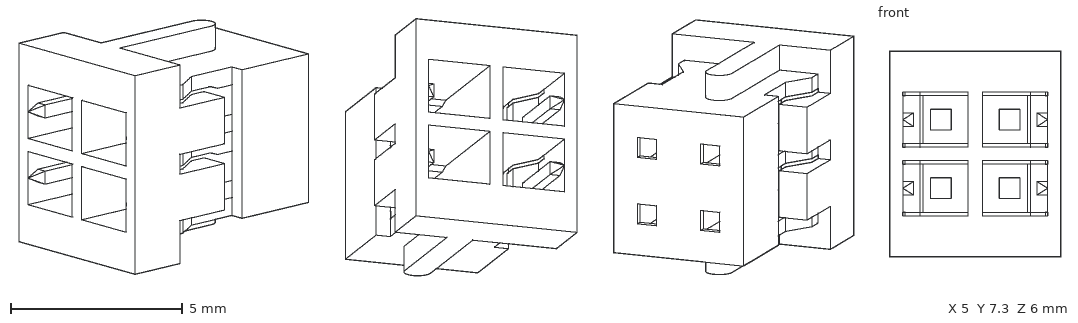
import cadquery as cq


total_width = 5.0
total_depth = 7.3
total_height = 6.0

pitch = 2.0
rows = (-pitch / 2, pitch / 2)
sides = (-1, 1)

flange_depth = 1.79
body_height = 4.49
body_width = 4.11
waist_width = 3.23
flare_width = 4.22
flare_start = 2.255
flare_end = 3.05
shoulder_y = 4.66

rib_width = 0.8
rib_end = 5.8
rib_x = -0.5

cavity_inner_x = 0.205
cavity_outer_x = flare_width / 2
cavity_height = 1.605
channel_height = 1.4
taper_start = 3.79
taper_end = 4.095
channel_outer_x = 1.52
back_wall = 0.2
cavity_floor = total_depth - back_wall
pin_hole = 0.6

tongue_end = 3.555
tongue_height = channel_height

barb_inner_x = 1.8
barb_height = 0.395
barb_tip_length = 0.4


def box(x_range, y_range, z_range):
    """Axis-aligned box between the given limits."""
    (x0, x1), (y0, y1), (z0, z1) = x_range, y_range, z_range
    return cq.Workplane("XY").box(x1 - x0, y1 - y0, z1 - z0, centered=False).translate((x0, y0, z0))


def z_prism(points, height, z_center):
    """Extrude an XY outline symmetrically about the given height."""
    return cq.Workplane("XY").workplane(offset=z_center).polyline(points).close().extrude(height / 2, both=True)


def on_side(points, side):
    """Mirror an outline drawn for +X onto the chosen side."""
    return [(side * x, y) for x, y in points]


def make_flange():
    half_width = total_width / 2
    half_height = total_height / 2
    return box((-half_width, half_width), (0, flange_depth), (-half_height, half_height))


def make_body():
    right_edge = [
        (flare_width / 2, 0),
        (flare_width / 2, flare_start),
        (waist_width / 2, flare_end),
        (waist_width / 2, shoulder_y),
        (body_width / 2, shoulder_y),
        (body_width / 2, total_depth),
    ]
    left_edge = on_side(reversed(right_edge), -1)
    return z_prism(right_edge + left_edge, body_height, 0)


def make_ribs():
    """One round-ended rib running the full height, so it shows above and below the body."""
    radius = rib_width / 2
    round_start = rib_end - radius
    return (
        cq.Workplane("XY")
        .moveTo(rib_x - radius, 0)
        .lineTo(rib_x - radius, round_start)
        .threePointArc((rib_x, rib_end), (rib_x + radius, round_start))
        .lineTo(rib_x + radius, 0)
        .close()
        .extrude(total_height / 2, both=True)
    )


def make_cavity(side, z):
    """Cavity open along its outer side up to the shoulder, narrowing in height, drafted at the back."""
    entry = cavity_height / 2
    channel = channel_height / 2
    height_profile = [
        (0, -entry),
        (taper_start, -entry),
        (taper_end, -channel),
        (cavity_floor, -channel),
        (cavity_floor, channel),
        (taper_end, channel),
        (taper_start, entry),
        (0, entry),
    ]
    width_profile = [
        (cavity_inner_x, 0),
        (cavity_outer_x, 0),
        (cavity_outer_x, shoulder_y),
        (waist_width / 2, shoulder_y),
        (channel_outer_x, cavity_floor),
        (cavity_inner_x, cavity_floor),
    ]
    tall = cq.Workplane("YZ").polyline(height_profile).close().extrude(total_width / 2, both=True)
    wide = z_prism(on_side(width_profile, side), cavity_height, 0)
    return tall.intersect(wide).translate((0, 0, z))


def make_pin_hole(side, z):
    hole = cq.Workplane("XY").box(pin_hole, total_depth, pin_hole)
    return hole.translate((side * pitch / 2, total_depth, z))


def make_tongue(side, z):
    """Cantilever tongue whose inner face follows the flare of the body."""
    outline = [
        (total_width / 2, 0),
        (total_width / 2, tongue_end),
        (waist_width / 2, tongue_end),
        (waist_width / 2, flare_end),
        (cavity_outer_x, flare_start),
        (cavity_outer_x, 0),
    ]
    return z_prism(on_side(outline, side), tongue_height, z)


def make_barb(side, z):
    """Bar from the tongue's ramp towards the entry, ending in a half-pyramid point."""
    outer = side * cavity_outer_x
    inner = side * barb_inner_x
    half_height = barb_height / 2
    bar = box(
        sorted((inner, outer)),
        (barb_tip_length, flare_end),
        (z - half_height, z + half_height),
    )
    apex = cq.Vector(outer, 0, z)
    base = [
        cq.Vector(inner, barb_tip_length, z - half_height),
        cq.Vector(inner, barb_tip_length, z + half_height),
        cq.Vector(outer, barb_tip_length, z + half_height),
        cq.Vector(outer, barb_tip_length, z - half_height),
    ]
    faces = [cq.Face.makeFromWires(cq.Wire.makePolygon(base, close=True))]
    for start, end in zip(base, base[1:] + base[:1]):
        faces.append(cq.Face.makeFromWires(cq.Wire.makePolygon([start, end, apex], close=True)))
    tip = cq.Solid.makeSolid(cq.Shell.makeShell(faces))
    return bar.union(cq.Workplane(obj=tip))


result = make_flange().union(make_body()).union(make_ribs())
for side in sides:
    for z in rows:
        result = result.cut(make_cavity(side, z)).cut(make_pin_hole(side, z))
        result = result.union(make_tongue(side, z)).union(make_barb(side, z))